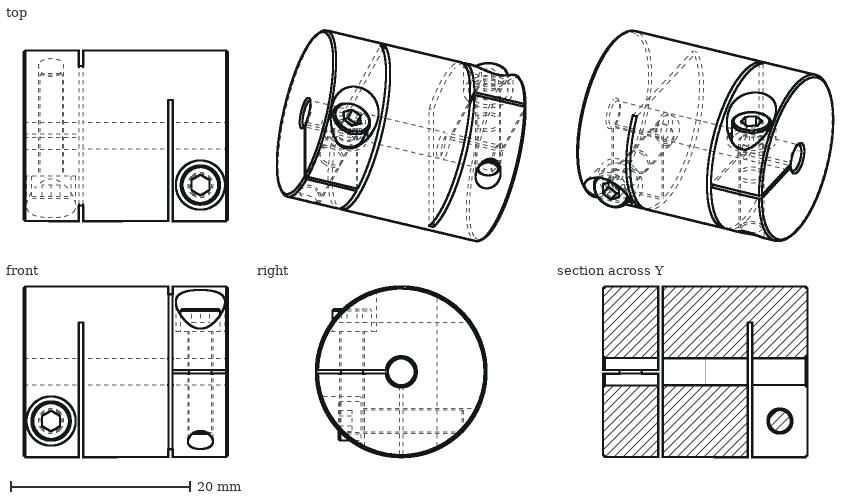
import cadquery as cq
import math


body_diameter = 19.1
body_length = 22.86
body_chamfer = 0.25
bore_diameter = 3.0
bore_chamfer = 0.25

slot_width = 0.5
slot_position = 5.0
right_slot_edge = 4.0
left_slot_edge = 5.5

slit_width = 0.4

shank_diameter = 2.5
shank_end = 6.95
tip_chamfer = 0.15
head_diameter = 4.4
head_height = 2.5
head_top = 7.0
head_chamfer = 0.2
hex_across_flats = 2.0
hex_depth = 1.5
screw_position = 8.34
screw_radius = 5.5

counterbore_diameter = 5.5
screw_hole_diameter = 2.8

body_radius = body_diameter / 2
half_length = body_length / 2
head_seat = head_top - head_height
hex_across_corners = hex_across_flats / math.cos(math.pi / 6)


def move_to_left_hub(shape):
    """Carry a +X hub shape to the -X hub, so that -Y becomes -Z and +Z becomes -Y."""
    turned = shape.rotate((0, 0, 0), (1, 0, 0), 90)
    return turned.mirror("YZ")


def cylinder_up(diameter, bottom, top):
    """Cylinder along Z on the clamp screw axis of the +X hub."""
    base = cq.Workplane("XY", origin=(screw_position, -screw_radius, bottom))
    return base.circle(diameter / 2).extrude(top - bottom)


def make_screw():
    """Clamp screw of the +X hub."""
    shank = cylinder_up(shank_diameter, -shank_end, head_seat)
    shank = shank.faces("<Z").chamfer(tip_chamfer)
    head = cylinder_up(head_diameter, head_seat, head_top)
    head = head.faces(">Z").chamfer(head_chamfer)
    socket = cq.Workplane("XY").polygon(6, hex_across_corners).extrude(-hex_depth)
    socket = socket.rotate((0, 0, 0), (0, 0, 1), 90)
    socket = socket.translate((screw_position, -screw_radius, head_top))
    return shank.union(head).cut(socket)


def make_slit():
    """Clamp slit of the +X hub, from the middle of its cross slot to the end face."""
    slit_length = half_length - slot_position
    slit = cq.Workplane("XY").box(slit_length, body_radius, slit_width)
    return slit.translate((slot_position + slit_length / 2, -body_radius / 2, 0))


def make_screw_recess():
    """Through hole and head counterbore of the +X hub."""
    hole = cylinder_up(screw_hole_diameter, -body_radius, body_radius)
    counterbore = cylinder_up(counterbore_diameter, head_seat, body_radius)
    return hole.union(counterbore)


def make_slot(edge):
    """Cross slot of the +X hub, cutting everything with Y below the edge."""
    slot = cq.Workplane("XY").box(slot_width, body_diameter, body_diameter)
    return slot.translate((slot_position, edge - body_radius, 0))


def make_body():
    """Chamfered cylinder with the bore, cross slots, slits and screw recesses."""
    blank = cq.Workplane("YZ").circle(body_radius).extrude(half_length, both=True)
    blank = blank.faces("<X or >X").chamfer(body_chamfer)
    bore = cq.Workplane("YZ").circle(bore_diameter / 2).extrude(half_length, both=True)
    body = blank.cut(bore)
    bore_rims = cq.selectors.RadiusNthSelector(0)
    body = body.faces("<X or >X").edges(bore_rims).chamfer(bore_chamfer)

    clamp_cut = make_slit().union(make_screw_recess())
    body = body.cut(make_slot(right_slot_edge)).cut(clamp_cut)
    left_slot = move_to_left_hub(make_slot(left_slot_edge))
    return body.cut(left_slot).cut(move_to_left_hub(clamp_cut))


body = make_body()
right_screw = make_screw()
left_screw = move_to_left_hub(right_screw)
screws = [right_screw, left_screw]

result = cq.Compound.makeCompound([body.solids().val(), *[screw.solids().val() for screw in screws]])